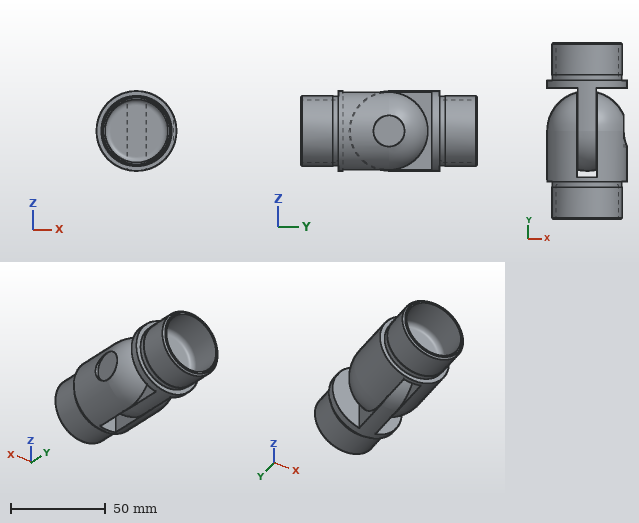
import cadquery as cq
import math


total_length = 93.6
body_dia = 42.4

spigot_dia = 37.3
neck_dia = 36.9
neck_length = 3.0
shoulder_offset = 26.8
end_chamfer = 1.0
bore_dia = 33.3
bore_floor_fillet = 3.0

tongue_thickness = 9.9
tongue_flange_offset = 22.65
slot_width = 10.5
slot_floor_offset = 24.4
recess_dia = 16.5
recess_floor_offset = 19.5

body_radius = body_dia / 2
half_length = total_length / 2
neck_end = shoulder_offset + neck_length


def make_spigot():
    """Hollow tube spigot on the +Y axis, from the shoulder to the open end."""
    spigot_radius = spigot_dia / 2
    neck_radius = neck_dia / 2
    bore_radius = bore_dia / 2
    fillet_flat_radius = bore_radius - bore_floor_fillet
    fillet_start = shoulder_offset + bore_floor_fillet
    fillet_reach = bore_floor_fillet * math.sqrt(0.5)
    fillet_middle = (fillet_flat_radius + fillet_reach, fillet_start - fillet_reach)
    return (
        cq.Workplane("XY")
        .moveTo(fillet_flat_radius, shoulder_offset)
        .lineTo(neck_radius, shoulder_offset)
        .lineTo(neck_radius, neck_end)
        .lineTo(spigot_radius, neck_end)
        .lineTo(spigot_radius, half_length - end_chamfer)
        .lineTo(spigot_radius - end_chamfer, half_length)
        .lineTo(bore_radius, half_length)
        .lineTo(bore_radius, fillet_start)
        .threePointArc(fillet_middle, (fillet_flat_radius, shoulder_offset))
        .close()
        .revolve(360, (0, 0, 0), (0, 1, 0))
    )


def make_domed_barrel():
    """Solid barrel from the shoulder on +Y to the pivot, closed by a dome of the same radius."""
    return (
        cq.Workplane("XY")
        .moveTo(0, shoulder_offset)
        .lineTo(body_radius, shoulder_offset)
        .lineTo(body_radius, 0)
        .threePointArc(
            (body_radius * math.sqrt(0.5), -body_radius * math.sqrt(0.5)),
            (0, -body_radius),
        )
        .close()
        .revolve(360, (0, 0, 0), (0, 1, 0))
    )


def make_domed_half():
    """Common blank of both halves: domed barrel with its tube spigot."""
    return make_domed_barrel().union(make_spigot())


def make_tongue_half():
    """Half on the +Y side: the barrel is cut away on both sides to leave a central tongue."""
    half = make_domed_half()
    cut_width = body_radius
    cut_length = tongue_flange_offset + body_radius
    for side in (-1, 1):
        side_cut = cq.Workplane("XY").box(cut_width, cut_length, body_dia).translate(
            (
                side * (tongue_thickness + cut_width) / 2,
                tongue_flange_offset - cut_length / 2,
                0,
            )
        )
        half = half.cut(side_cut)
    return half


def make_fork():
    """Half on the -Y side: a slot takes the tongue and the +X cheek has a round recess."""
    blank = make_domed_half().mirror("XZ")
    slot_length = slot_floor_offset + body_radius
    slot = cq.Workplane("XY").box(slot_width, slot_length, body_dia).translate(
        (0, slot_length / 2 - slot_floor_offset, 0)
    )
    recess = (
        cq.Workplane("YZ", origin=(recess_floor_offset, 0, 0))
        .circle(recess_dia / 2)
        .extrude(body_radius - recess_floor_offset)
    )
    return blank.cut(slot).cut(recess)


fork = make_fork()
tongue_half = make_tongue_half()

result = cq.Compound.makeCompound([fork.val(), tongue_half.val()])